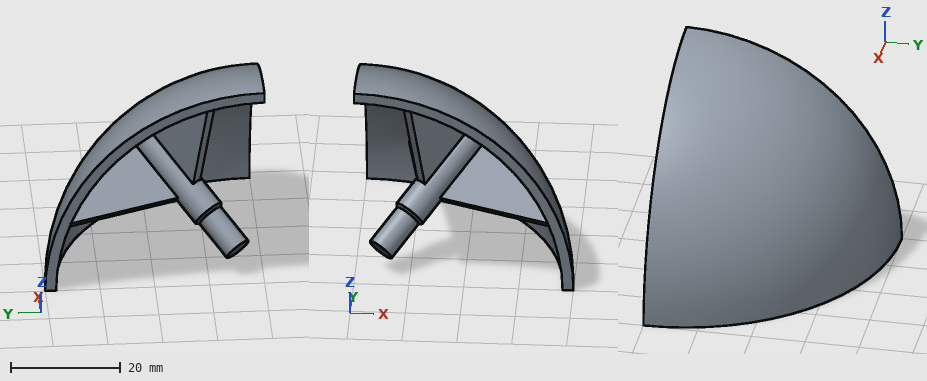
import cadquery as cq
import math

outer_radius = 40.0
wall = 2.0
inner_radius = outer_radius - wall
wall_middle_radius = outer_radius - wall / 2

pin_start = 8.0
shoulder_start = 16.0
pin_diameter = 5.0
shaft_diameter = 6.0

rib_count = 3
rib_thickness = 2.0
rib_root_height = 20.8
rib_tip_height = 30.6
rib_tip_reach = math.sqrt(inner_radius**2 - rib_tip_height**2)

diagonal = cq.Vector(1, 1, 1)
diagonal_lean = cq.Vector(-1, -1, 2)

rib_plane = cq.Plane(
    origin=(0, 0, 0),
    xDir=diagonal_lean,
    normal=diagonal_lean.cross(diagonal),
)


def make_shell():
    ball = cq.Workplane("XY").sphere(outer_radius)
    hollow = cq.Workplane("XY").sphere(inner_radius)
    octant = cq.Workplane("XY").box(outer_radius, outer_radius, outer_radius, centered=False)
    return ball.cut(hollow).intersect(octant)


def make_pin():
    """Stepped pin with a conical shoulder, revolved about the diagonal and buried in the wall."""
    pin_radius = pin_diameter / 2
    shaft_radius = shaft_diameter / 2
    cone_end = shoulder_start + shaft_radius - pin_radius
    profile = [
        (0, pin_start),
        (pin_radius, pin_start),
        (pin_radius, shoulder_start),
        (shaft_radius, cone_end),
        (shaft_radius, wall_middle_radius),
        (0, wall_middle_radius),
    ]
    return cq.Workplane(rib_plane).polyline(profile).close().revolve(360, (0, 0), (0, 1))


def make_rib(angle):
    """Rib from the axis to the shell, with its rounded edge buried in the wall."""
    slope = (rib_tip_height - rib_root_height) / rib_tip_reach
    tip_angle = math.atan2(rib_tip_reach, rib_tip_height)
    buried_reach = wall_middle_radius * math.sin(tip_angle)
    buried_height = rib_root_height + slope * buried_reach
    outline_radius = math.hypot(buried_reach, buried_height)
    half_angle = math.atan2(buried_reach, buried_height) / 2
    arc_middle = (outline_radius * math.sin(half_angle), outline_radius * math.cos(half_angle))
    rib = (
        cq.Workplane(rib_plane)
        .moveTo(0, rib_root_height)
        .lineTo(buried_reach, buried_height)
        .threePointArc(arc_middle, (0, outline_radius))
        .close()
        .extrude(rib_thickness / 2, both=True)
    )
    return rib.rotate((0, 0, 0), diagonal.toTuple(), angle)


result = make_shell().union(make_pin())
for index in range(rib_count):
    result = result.union(make_rib(index * 360 / rib_count))